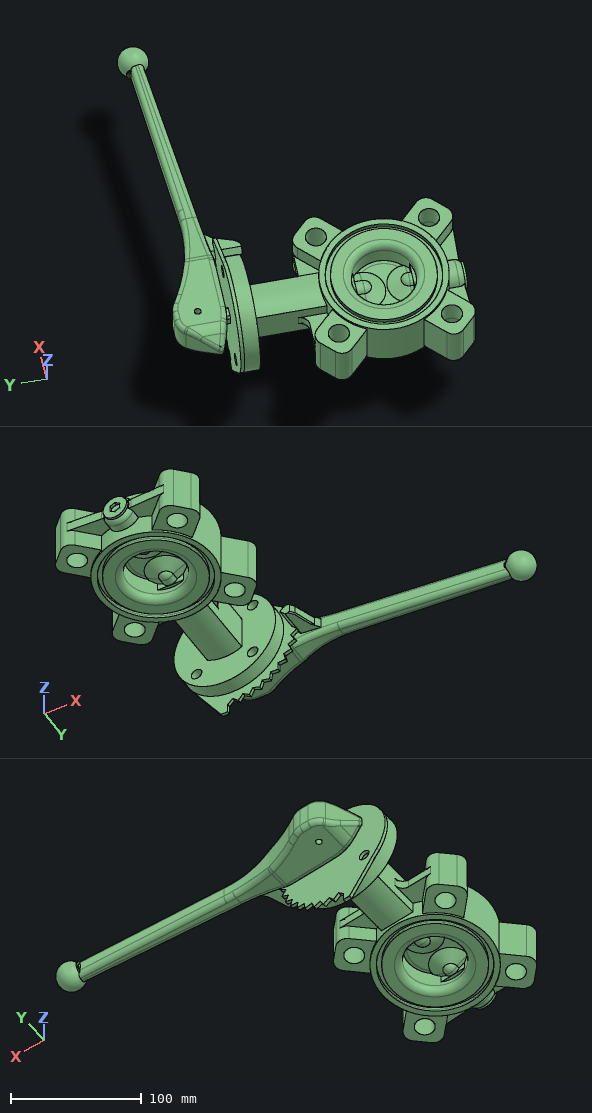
import cadquery as cq
import math

ring_radius = 50.0
face_to_face = 43.0
bore_radius = 25.0
mouth_radius = 31.2
mouth_depth = 6.2
groove_outer_radius = 45.0
groove_inner_radius = 41.0
groove_depth = 4.0

lug_height = 39.0
lug_width = 32.0
lug_corner_radius = 9.0
lug_hole_radius = 8.0
bolt_offset = 44.2
lug_edge = 62.5
lug_corner_offset = (lug_edge - lug_corner_radius) * math.sqrt(2)
lug_reach = lug_corner_offset - lug_width / 2 + 2 * lug_corner_radius
rib_thickness = 8.6
rib_half_length = lug_edge - lug_corner_radius - math.sqrt(2) * (lug_width / 2 - lug_corner_radius)
rib_fillet = 7.5
rib_rise = 1.5

neck_width = 30.4
neck_side_height = 29.4
neck_crown_height = 37.0

boss_radius = 13.0
boss_tip_radius = 10.5
boss_rounding_length = 4.8
boss_end = -61.5
plug_end = -63.5
hex_across_flats = 8.3
hex_depth = 4.0

flange_radius = 45.0
flange_bottom = 105.5
flange_top = 118.0
plate_top = 121.0
flange_hole_offset = 24.75
flange_hole_radius = 4.6

tooth_count = 9
tooth_pitch = 10.0
tooth_tip_radius = 56.8
tooth_root_radius = 52.0
stop_inner = 4.5
stop_outer = 10.5
stop_reach = 64.0

disc_half_thickness = 1.5
disc_face_radius = 21.7
disc_edge_half_thickness = 0.5
disc_seat_overlap = 0.5
hub_spacing = 35.5
hub_shift = -1.8
hub_radius = 17.0
hub_rise = 9.5
hub_end = 22.2
land_seat_overlap = 1.0
seat_land_height = 22.8
spindle_radius = 6.8
spindle_lift = 4.5

stem_width = 10.4
stem_chamfer = 1.9
stem_top = 136.0

lever_bottom = 123.5
lever_top = 164.5
lever_half_width = 14.0
lever_fillet = 4.3
edge_reach = 0.1
handle_half_width = 8.8
handle_end = 232.0
handle_end_top = 152.2
handle_end_bottom = 141.6
nose = (-33.6, 132.0, 3.0)
hump_front = (-11.6, lever_top, 14.7)
hump_rear = (8.1, lever_top, 17.0)
hollow = (54.7, 138.9, 136.0)
heel = (44.0, lever_bottom)
belly = (-5.0, lever_bottom, 40.0)
nose_tip = (-34.0, 2.5)
shoulder = (-17.0, lever_half_width, 17.0)
hip = (46.8, lever_half_width, 11.0)
waist = (67.0, handle_half_width, 155.0)
pin_height = 145.6
pin_radius = 2.5
ball_x = 237.75
ball_y = 147.9
ball_radius = 12.25
collar_radius = 7.2
collar_length = 11.0

pawl_clearance = 0.4
pawl_half_width = tooth_tip_radius * math.sin(math.radians(tooth_pitch / 2)) - pawl_clearance
pawl_bottom = 99.8
pawl_root = 127.2
pawl_toe = (60.5, pawl_bottom)
pawl_toe_bevel = (63.5, 103.4)
pawl_knee = (70.0, 122.0)
pawl_back = (74.0, pawl_root)
pawl_chamfer = 1.0


def cylinder_z(radius, height):
    return cq.Workplane("XY").circle(radius).extrude(height / 2, both=True)


def extrude_y(outline, start, end):
    """Extrude an outline made by a function of an XZ workplane from Y=start to Y=end."""
    return outline(cq.Workplane("XZ", origin=(0, start, 0))).extrude(start - end)


def cylinder_y(radius, start, end):
    return extrude_y(lambda plane: plane.circle(radius), start, end)


def rounding_radius(width, length):
    """Radius of an arc that leaves a cylinder wall tangentially and spans a width and a length."""
    return (width ** 2 + length ** 2) / (2 * width)


def make_lug(angle):
    lug = (
        cq.Workplane("XY")
        .center(lug_reach / 2, 0)
        .rect(lug_reach, lug_width)
        .extrude(lug_height / 2, both=True)
        .edges("|Z and >X")
        .fillet(lug_corner_radius)
    )
    return lug.rotate((0, 0, 0), (0, 0, 1), angle)


def make_ribs():
    """Thin webs joining the lugs to the neck and to the lower boss."""
    half_neck = neck_width / 2
    upper = (
        cq.Workplane("XY")
        .moveTo(-rib_half_length, 0)
        .lineTo(-rib_half_length, lug_edge)
        .lineTo(-half_neck - rib_fillet, lug_edge)
        .radiusArc((-half_neck, lug_edge + rib_fillet), -rib_fillet)
        .lineTo(half_neck, lug_edge + rib_fillet)
        .radiusArc((half_neck + rib_fillet, lug_edge), -rib_fillet)
        .lineTo(rib_half_length, lug_edge)
        .lineTo(rib_half_length, 0)
        .close()
        .extrude(rib_thickness / 2, both=True)
    )
    lower = (
        cq.Workplane("XY")
        .polyline([
            (-rib_half_length, 0),
            (-rib_half_length, -lug_edge),
            (-boss_radius, rib_rise - lug_edge),
            (boss_radius, rib_rise - lug_edge),
            (rib_half_length, -lug_edge),
            (rib_half_length, 0),
        ])
        .close()
        .extrude(rib_thickness / 2, both=True)
    )
    return upper.union(lower)


def neck_outline(plane):
    half_width = neck_width / 2
    side = neck_side_height / 2
    crown = neck_crown_height / 2
    return (
        plane.moveTo(-half_width, -side)
        .lineTo(-half_width, side)
        .threePointArc((0, crown), (half_width, side))
        .lineTo(half_width, -side)
        .threePointArc((0, -crown), (-half_width, -side))
        .close()
    )


def make_boss():
    """Round lower boss with the hexagon-socket plug on its end."""
    rounding_start = boss_end + boss_rounding_length
    rounding = rounding_radius(boss_radius - boss_tip_radius, boss_rounding_length)
    boss = (
        cq.Workplane("XY")
        .lineTo(boss_radius, 0)
        .lineTo(boss_radius, rounding_start)
        .radiusArc((boss_tip_radius, boss_end), rounding)
        .lineTo(0, boss_end)
        .close()
        .revolve(360, (0, 0), (0, 1))
    )
    plug = cylinder_y(boss_tip_radius, plug_end, boss_end)
    corner_diameter = hex_across_flats / math.cos(math.pi / 6)
    socket = extrude_y(
        lambda plane: plane.transformed(rotate=(0, 0, 30)).polygon(6, corner_diameter),
        plug_end,
        plug_end + hex_depth,
    )
    return boss.union(plug).cut(socket)


def flange_hole(x_side, z_side):
    hole = cylinder_y(flange_hole_radius, flange_bottom, plate_top)
    return hole.translate((x_side * flange_hole_offset, 0, z_side * flange_hole_offset))


def make_flange():
    flange = cylinder_y(flange_radius, flange_bottom, flange_top)
    for x_side in (-1, 1):
        for z_side in (-1, 1):
            flange = flange.cut(flange_hole(x_side, z_side))
    return flange


def make_bore():
    """Revolved bore with a rounded mouth at each end face."""
    half = face_to_face / 2
    rounding = rounding_radius(mouth_radius - bore_radius, mouth_depth)
    return (
        cq.Workplane("XZ")
        .moveTo(0, -half)
        .lineTo(mouth_radius, -half)
        .radiusArc((bore_radius, mouth_depth - half), rounding)
        .lineTo(bore_radius, half - mouth_depth)
        .radiusArc((mouth_radius, half), rounding)
        .lineTo(0, half)
        .close()
        .revolve(360, (0, 0), (0, 1))
    )


def make_disc_hub(side):
    """Ridged hub ending in a cone, with the round-ended spindle along it."""
    hub_center = hub_spacing / 2 + side * hub_shift
    apex = disc_half_thickness + hub_rise
    right_half = [
        (0, -apex),
        (hub_radius, -disc_half_thickness),
        (hub_radius, disc_half_thickness),
        (0, apex),
    ]
    left_half = [(-hub_radius, disc_half_thickness), (-hub_radius, -disc_half_thickness)]
    ridge = extrude_y(lambda plane: plane.polyline(right_half + left_half).close(), hub_center, hub_end)
    cone = (
        cq.Workplane("XZ", origin=(0, hub_center, 0))
        .polyline(right_half)
        .close()
        .revolve(360, (0, 0), (0, 1))
    )
    hub = ridge.union(cone)
    spindle = cylinder_y(spindle_radius, hub_center, hub_end)
    tip = cq.Workplane("XY", origin=(0, hub_center, 0)).sphere(spindle_radius)
    hub = hub.intersect(cylinder_z(bore_radius + disc_seat_overlap, face_to_face))
    for face in (-1, 1):
        offset = (0, 0, face * spindle_lift)
        hub = hub.union(spindle.translate(offset)).union(tip.translate(offset))
    return hub if side > 0 else hub.mirror("XZ")


def make_seat_land(side):
    """Bore segment with a flat face against one hub end."""
    rim = bore_radius + land_seat_overlap
    block = extrude_y(lambda plane: plane.rect(2 * rim, seat_land_height), hub_end, rim)
    land = block.intersect(cylinder_z(rim, seat_land_height))
    return land if side > 0 else land.mirror("XZ")


def make_disc():
    """Thin butterfly disc, closed in the bore and joined to the housing at its rim and lands."""
    rim = bore_radius + disc_seat_overlap
    disc = (
        cq.Workplane("XZ")
        .polyline([
            (0, -disc_half_thickness),
            (disc_face_radius, -disc_half_thickness),
            (rim, -disc_edge_half_thickness),
            (rim, disc_edge_half_thickness),
            (disc_face_radius, disc_half_thickness),
            (0, disc_half_thickness),
        ])
        .close()
        .revolve(360, (0, 0), (0, 1))
    )
    for side in (-1, 1):
        disc = disc.union(make_disc_hub(side))
    return disc


def make_valve():
    """Housing with lugs, neck, flange and the disc in its bore as one solid."""
    valve = cylinder_z(ring_radius, face_to_face)
    for quarter in range(4):
        valve = valve.union(make_lug(45 + 90 * quarter))
    valve = valve.union(make_ribs())
    valve = valve.union(extrude_y(neck_outline, 0, flange_bottom))
    valve = valve.union(make_boss())
    valve = valve.union(make_flange())
    bolt_places = [(x * bolt_offset, y * bolt_offset) for x in (-1, 1) for y in (-1, 1)]
    bolt_holes = (
        cq.Workplane("XY").pushPoints(bolt_places).circle(lug_hole_radius).extrude(lug_height, both=True)
    )
    groove = cylinder_z(groove_outer_radius, groove_depth).cut(cylinder_z(groove_inner_radius, groove_depth))
    groove_place = (face_to_face - groove_depth) / 2
    valve = valve.cut(bolt_holes).cut(make_bore())
    for side in (-1, 1):
        valve = valve.cut(groove.translate((0, 0, side * groove_place)))
    for side in (-1, 1):
        valve = valve.union(make_seat_land(side))
    return valve.union(make_disc())


def polar(radius, degrees):
    angle = math.radians(degrees)
    return radius * math.cos(angle), radius * math.sin(angle)


def tangent_angle(point):
    """Angle in degrees of the flange-circle point, clockwise from a point, whose tangent reaches it."""
    distance = math.hypot(*point)
    return math.degrees(math.atan2(point[1], point[0]) - math.acos(flange_radius / distance))


def plate_outline(plane):
    """Toothed quadrant from angle 0 to -90 degrees between two stops."""
    left_corner = (-stop_outer, -stop_reach)
    tangent = polar(flange_radius, tangent_angle(left_corner))
    stop_root = -tooth_root_radius - stop_inner
    half = [tangent, left_corner, (-stop_inner, -stop_reach), (-stop_inner, stop_root)]
    mirrored = [(-z, -x) for x, z in reversed(half)]
    teeth = []
    for index in range(tooth_count):
        root = index * tooth_pitch - 90
        teeth.append(polar(tooth_root_radius, root))
        teeth.append(polar(tooth_tip_radius, root + tooth_pitch / 2))
    teeth.append((tooth_root_radius, 0))
    return plane.polyline([(0, 0)] + half + teeth + mirrored).close()


def make_plate():
    """Index plate on the flange, open at two opposite flange holes."""
    plate = cylinder_y(flange_radius, flange_top, plate_top)
    plate = plate.union(extrude_y(plate_outline, flange_top, plate_top))
    for side in (-1, 1):
        plate = plate.cut(flange_hole(side, side))
    return plate


def stem_outline(plane):
    return plane.sketch().rect(stem_width, stem_width).vertices().chamfer(stem_chamfer).finalize()


def make_stem():
    return extrude_y(stem_outline, plate_top, stem_top)


def round_corners(prism, direction, corners):
    """Fillet the prism edges along a direction, given (X, other coordinate, radius) per corner."""
    depth = 2 * lever_top
    for x, other, radius in corners:
        if direction == "|Z":
            low = (x - edge_reach, other - edge_reach, -depth)
            high = (x + edge_reach, other + edge_reach, depth)
        else:
            low = (x - edge_reach, -depth, other - edge_reach)
            high = (x + edge_reach, depth, other + edge_reach)
        box = cq.selectors.BoxSelector(low, high)
        prism = prism.edges(direction).edges(box).fillet(radius)
    return prism


def make_lever_profile():
    """Side shape of the lever in the XY plane: nose, hump, hollow and tapering handle."""
    corners = [nose, hump_front, hump_rear, hollow, belly]
    outline = [corner[:2] for corner in corners]
    outline[4:4] = [(handle_end, handle_end_top), (handle_end, handle_end_bottom), heel]
    prism = cq.Workplane("XY").polyline(outline).close().extrude(lever_half_width, both=True)
    return round_corners(prism, "|Z", corners)


def make_lever_plan():
    """Plan shape of the lever in XZ, widest at the hump."""
    upper = [shoulder, hip, waist]
    lower = [(x, -z, radius) for x, z, radius in reversed(upper)]
    outline = [nose_tip] + [corner[:2] for corner in upper]
    outline += [(handle_end, handle_half_width), (handle_end, -handle_half_width)]
    outline += [corner[:2] for corner in lower] + [(nose_tip[0], -nose_tip[1])]
    prism = extrude_y(lambda plane: plane.polyline(outline).close(), lever_bottom, lever_top)
    return round_corners(prism, "|Y", upper + lower)


def make_pawl():
    """Wedge that hangs from the lever into the first tooth gap of the plate."""
    wedge_end = tooth_root_radius + pawl_half_width
    reach = pawl_back[0]
    plan = [(tooth_root_radius, 0), (wedge_end, pawl_half_width), (reach, pawl_half_width)]
    plan += [(x, -z) for x, z in reversed(plan[1:])]
    wedge = extrude_y(lambda plane: plane.polyline(plan).close(), pawl_bottom, pawl_root)
    outline = [(tooth_root_radius, pawl_bottom), pawl_toe, pawl_toe_bevel, pawl_knee, pawl_back]
    outline.append((tooth_root_radius, pawl_root))
    side = cq.Workplane("XY").polyline(outline).close().extrude(lever_half_width, both=True)
    pawl = wedge.intersect(side)
    back_edges = cq.selectors.BoxSelector(
        (pawl_toe[0], pawl_bottom + edge_reach, -lever_half_width),
        (pawl_knee[0], pawl_knee[1], lever_half_width),
    )
    return pawl.edges("not(|Z)").edges(back_edges).chamfer(pawl_chamfer)


def make_lever():
    """Lever with its ball, pawl, stem and index plate as one solid."""
    lever = make_lever_profile().intersect(make_lever_plan())
    for side in (-1, 1):
        face_side = cq.selectors.BoxSelector(
            (2 * nose_tip[0], 0, (nose_tip[1] + edge_reach) * side),
            (handle_end - edge_reach, 2 * lever_top, 2 * lever_half_width * side),
        )
        lever = lever.edges("not(|Y)").edges(face_side).fillet(lever_fillet)
    ball = cq.Workplane("XY", origin=(ball_x, ball_y, 0)).sphere(ball_radius)
    collar = (
        cq.Workplane("YZ", origin=(ball_x - collar_length, ball_y, 0))
        .circle(collar_radius)
        .extrude(collar_length)
    )
    pin_hole = cylinder_z(pin_radius, 3 * lever_half_width).translate((0, pin_height, 0))
    lever = lever.union(collar).union(ball).cut(pin_hole).union(make_stem())
    return lever.union(make_pawl()).union(make_plate())


valve = make_valve()
lever = make_lever()
result = cq.Compound.makeCompound([valve.val(), lever.val()])